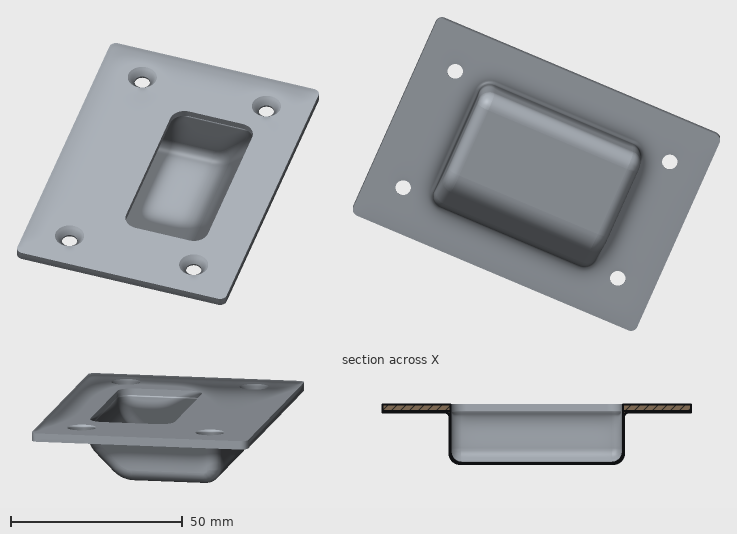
import cadquery as cq
import math

plate_width = 64.0
plate_length = 90.0
plate_thickness = 2.0
plate_corner_radius = 2.0

hole_diameter = 4.5
countersink_half_angle = 45
hole_spacing_x = 38.0
hole_spacing_y = 68.0
hole_centers = [
    (side_x * hole_spacing_x / 2, side_y * hole_spacing_y / 2)
    for side_x in (-1, 1)
    for side_y in (-1, 1)
]

sheet = 0.5
total_height = 17.5
flange_top = -plate_thickness
flange_bottom = flange_top - sheet
outer_bend_radius = 1.0
inner_bend_radius = 0.5

cavity_left = -19.4
cavity_right = 19.0
cavity_length = 49.95
cavity_floor = sheet - total_height
slope_start_x = 9.1
heel_radius = 4.0
half_turn = math.radians(45 / 2)
slope_radius = 8.0
end_radius = 3.0

opening_width = 25.0
opening_corner_radius = 4.3


def sheet_blank(thickness, top):
    """Rounded rectangular slab with the outline of the plate, hanging down from the given height."""
    return (
        cq.Workplane("XY", origin=(0, 0, top))
        .rect(plate_width, plate_length)
        .extrude(-thickness)
        .edges("|Z")
        .fillet(plate_corner_radius)
    )


def pan_block(offset):
    """Solid below the flange top with the shape of the cavity, grown outward by the offset."""
    left = cavity_left - offset
    right = cavity_right + offset
    floor = cavity_floor - offset
    length = cavity_length + 2 * offset
    heel = heel_radius + offset
    bend = slope_radius + offset

    corner_shift = offset * math.tan(half_turn)
    slope_foot_x = slope_start_x + corner_shift
    slope_top_z = floor + right - slope_foot_x

    tangent = bend * math.tan(half_turn)
    diagonal = tangent * math.sqrt(0.5)
    mid_along = bend * math.sin(half_turn)
    mid_across = bend * (1 - math.cos(half_turn))
    heel_mid = heel * (1 - math.sqrt(0.5))

    block = (
        cq.Workplane("XZ", origin=(0, length / 2, 0))
        .moveTo(left, flange_top)
        .lineTo(left, floor + heel)
        .threePointArc((left + heel_mid, floor + heel_mid), (left + heel, floor))
        .lineTo(slope_foot_x - tangent, floor)
        .threePointArc(
            (slope_foot_x - tangent + mid_along, floor + mid_across),
            (slope_foot_x + diagonal, floor + diagonal),
        )
        .lineTo(right - diagonal, slope_top_z - diagonal)
        .threePointArc(
            (right - mid_across, slope_top_z + tangent - mid_along),
            (right, slope_top_z + tangent),
        )
        .lineTo(right, flange_top)
        .close()
        .extrude(length)
    )
    return block.faces("<Y or >Y").edges("not >Z").fillet(end_radius + offset)


def rim_edges(height):
    """Selector for the edges around the pan at one height, inside the outline of the flange."""
    reach_y = cavity_length / 2 + 2 * sheet
    level_margin = sheet / 4
    return cq.selectors.BoxSelector(
        (cavity_left - 2 * sheet, -reach_y, height - level_margin),
        (cavity_right + 2 * sheet, reach_y, height + level_margin),
    )


def make_plate():
    opening_center_x = cavity_right - opening_width / 2
    opening = (
        cq.Workplane("XY")
        .center(opening_center_x, 0)
        .rect(opening_width, cavity_length)
        .extrude(-plate_thickness)
        .edges("|Z")
        .fillet(opening_corner_radius)
    )
    countersinks = (
        cq.Workplane("XY", origin=(0, 0, -plate_thickness))
        .pushPoints(hole_centers)
        .circle(hole_diameter / 2)
        .extrude(plate_thickness, taper=-countersink_half_angle)
    )
    return sheet_blank(plate_thickness, 0).cut(opening).cut(countersinks)


def make_pan():
    flange = sheet_blank(sheet, flange_top)
    flange_holes = (
        cq.Workplane("XY", origin=(0, 0, flange_top))
        .pushPoints(hole_centers)
        .circle(hole_diameter / 2)
        .extrude(-sheet)
    )

    outer = flange.union(pan_block(sheet))
    outer = outer.edges(rim_edges(flange_bottom)).fillet(outer_bend_radius)
    hollow = outer.cut(pan_block(0))
    hollow = hollow.edges(rim_edges(flange_top)).fillet(inner_bend_radius)
    return hollow.cut(flange_holes)


plate = make_plate()
pan = make_pan()

result = cq.Compound.makeCompound([*plate.solids().vals(), *pan.solids().vals()])